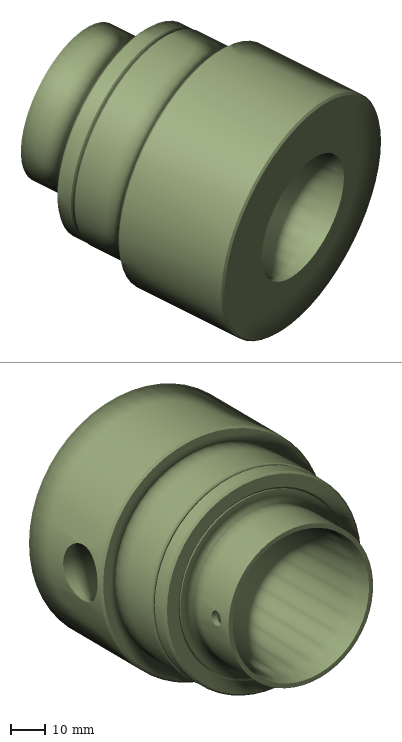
import cadquery as cq

total_length = 82.55
edge_chamfer = 0.7

spout_diameter = 50.9
spout_length = 19.15
spout_fillet = 1.65
stem_diameter = 58.6
bore_mouth_diameter = 48.05
bore_end_diameter = 41.1
pin_hole_diameter = 4.8
pin_hole_x = 6.3

ring_diameter = 69.4
ring_length = 6.3
ring_rear_chamfer = 0.9
ring_front_x = spout_length
ring_rear_x = ring_front_x + ring_length

neck_diameter = 69.8
housing_diameter = 79.4
housing_front_x = ring_rear_x
shoulder_x = 44.7
side_port_diameter = 17.7
side_port_x = 55.5


def cylinder(diameter, start_x, end_x):
    """Solid cylinder on the X axis between two stations."""
    return cq.Workplane("YZ", origin=(start_x, 0, 0)).circle(diameter / 2).extrude(end_x - start_x)


def side_drill(diameter, x):
    """Radial drill from the axis out through the +Y side."""
    return (
        cq.Workplane("XZ", origin=(x, 0, 0))
        .circle(diameter / 2)
        .extrude(-housing_diameter)
    )


def make_tube():
    spout_radius = spout_diameter / 2
    stem_radius = stem_diameter / 2
    fillet_start = (spout_length - spout_fillet, spout_radius)
    fillet_end = (spout_length, spout_radius + spout_fillet)
    body = (
        cq.Workplane("XY")
        .moveTo(0, bore_mouth_diameter / 2)
        .lineTo(0, spout_radius)
        .lineTo(*fillet_start)
        .radiusArc(fillet_end, -spout_fillet)
        .lineTo(spout_length, stem_radius)
        .lineTo(total_length, stem_radius)
        .lineTo(total_length, bore_end_diameter / 2)
        .close()
        .revolve(360, (0, 0, 0), (1, 0, 0))
    )
    return body.cut(side_drill(pin_hole_diameter, pin_hole_x))


def make_ring():
    blank = cylinder(ring_diameter, ring_front_x, ring_rear_x)
    blank = blank.faces("<X").chamfer(edge_chamfer)
    blank = blank.faces(">X").chamfer(ring_rear_chamfer)
    collar = blank.cut(cylinder(stem_diameter, ring_front_x, ring_rear_x))
    bore_rim = collar.faces("<X").edges(cq.selectors.RadiusNthSelector(0))
    return bore_rim.chamfer(edge_chamfer)


def make_housing():
    neck = cylinder(neck_diameter, housing_front_x, shoulder_x).faces("<X").chamfer(edge_chamfer)
    barrel = cylinder(housing_diameter, shoulder_x, total_length).faces("<X or >X").chamfer(edge_chamfer)
    sleeve = neck.union(barrel).cut(side_drill(side_port_diameter, side_port_x))
    return sleeve.cut(cylinder(stem_diameter, housing_front_x, total_length))


tube = make_tube()
ring = make_ring()
housing = make_housing()

result = cq.Compound.makeCompound([tube.val(), ring.val(), housing.val()])